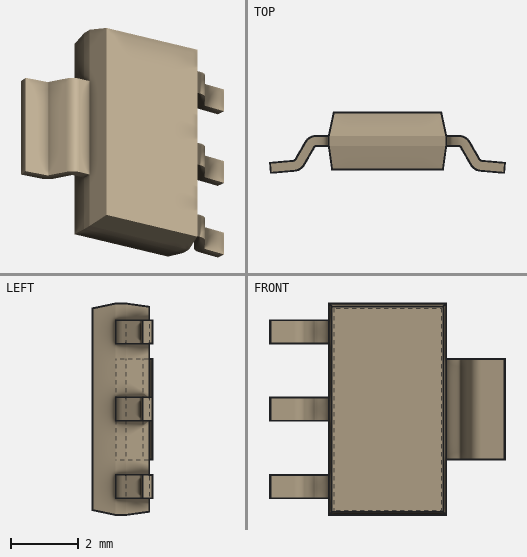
import cadquery as cq
import math


span_over_leads = 7.0
housing_width = 3.5
housing_length = 6.3
overall_height = 1.8
standoff = 0.1

lead_thickness = 0.305
lead_bottom = 0.8
lead_top = lead_bottom + lead_thickness
foot_angle = math.radians(5)
leg_angle = math.radians(60)
shoulder_length = 0.41
inner_bend_radius = 0.07
outer_bend_radius = inner_bend_radius + lead_thickness
pin_width = 0.7
pin_pitch = 2.3
pin_count = 3
tab_width = 3.0

top_draft_angle = 12
bottom_draft_angle = 8


def make_housing():
    """Molded block: straight band level with the leads, drafted above and below it."""
    band = (
        cq.Workplane("XZ", origin=(0, lead_bottom, 0))
        .rect(housing_width, housing_length)
        .extrude(-lead_thickness)
    )
    upper = (
        cq.Workplane("XZ", origin=(0, lead_top, 0))
        .rect(housing_width, housing_length)
        .extrude(-(overall_height - lead_top), taper=top_draft_angle)
    )
    lower = (
        cq.Workplane("XZ", origin=(0, lead_bottom, 0))
        .rect(housing_width, housing_length)
        .extrude(lead_bottom - standoff, taper=bottom_draft_angle)
    )
    return band.union(upper).union(lower)


def make_left_lead(width, center_z):
    """Gull-wing strip on the -X side, ending against the housing band."""
    housing_side = -housing_width / 2
    tip_x = -span_over_leads / 2

    tip_top = (tip_x, lead_thickness * math.cos(foot_angle))
    tip_bottom = (tip_x + lead_thickness * math.sin(foot_angle), 0)

    foot_slope = math.tan(foot_angle)
    leg_slope = math.tan(leg_angle)
    shoulder_bottom = (housing_side - shoulder_length, lead_bottom)
    rise = leg_slope * shoulder_bottom[0] - foot_slope * tip_bottom[0] - lead_bottom
    knee_x = rise / (leg_slope - foot_slope)
    heel_bottom = (knee_x, foot_slope * (knee_x - tip_bottom[0]))

    shoulder_top = (shoulder_bottom[0] - lead_thickness * math.tan(leg_angle / 2), lead_top)
    miter_angle = (foot_angle + leg_angle) / 2
    miter_length = lead_thickness / math.cos((leg_angle - foot_angle) / 2)
    heel_top = (
        heel_bottom[0] - miter_length * math.sin(miter_angle),
        heel_bottom[1] + miter_length * math.cos(miter_angle),
    )

    outline = [
        tip_bottom,
        heel_bottom,
        shoulder_bottom,
        (housing_side, lead_bottom),
        (housing_side, lead_top),
        shoulder_top,
        heel_top,
        tip_top,
    ]
    lead = cq.Workplane("XY").polyline(outline).close().extrude(width / 2, both=True)

    bends = [
        (heel_bottom, outer_bend_radius),
        (heel_top, inner_bend_radius),
        (shoulder_bottom, inner_bend_radius),
        (shoulder_top, outer_bend_radius),
    ]
    for (x, y), radius in bends:
        lead = lead.edges(cq.NearestToPointSelector((x, y, 0))).fillet(radius)
    return lead.translate((0, 0, center_z))


housing = make_housing()

pins = []
for index in range(pin_count):
    pin_z = (index - (pin_count - 1) / 2) * pin_pitch
    pins.append(make_left_lead(pin_width, pin_z))

tab = make_left_lead(tab_width, 0).mirror("YZ")

result = cq.Compound.makeCompound([housing.val(), *[pin.val() for pin in pins], tab.val()])